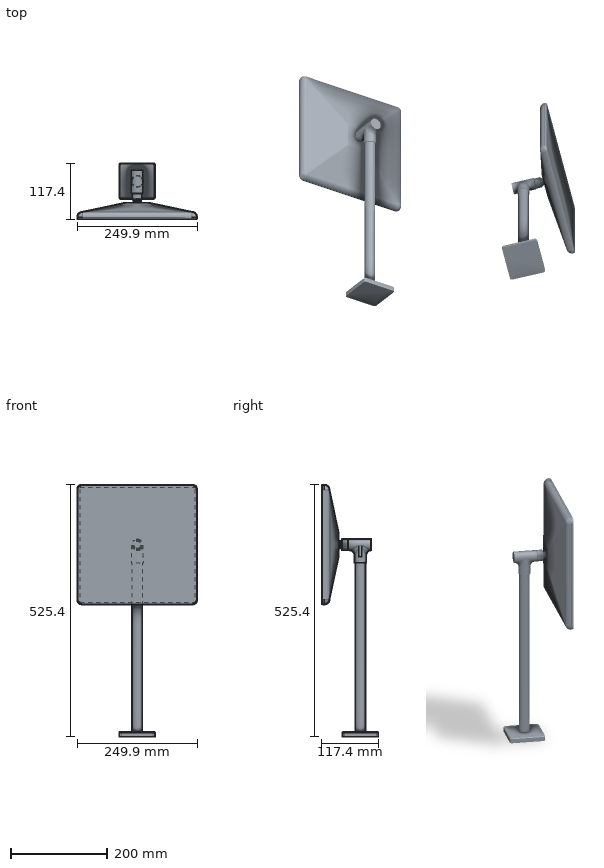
import cadquery as cq
import math


BASE_SIDE = 75.0
BASE_THICKNESS = 10.5
BASE_CORNER_RADIUS = 4.5
BASE_TOP_CHAMFER = 1.5

OVERALL_HEIGHT = 525.43
OVERALL_DEPTH = 117.43

HEAD_SIDE = 249.86
HEAD_CORNER_RADIUS = 10.0
RIM_DEPTH = 16.0
RIM_ROUND_RADIUS = 11.5
HEAD_DEPTH = 34.8
HEAD_BACK_SIDE = 50.0
HEAD_FRONT_Y = BASE_SIDE / 2 - OVERALL_DEPTH
HEAD_BACK_Y = HEAD_FRONT_Y + HEAD_DEPTH
AXIS_Z = OVERALL_HEIGHT - HEAD_SIDE / 2

POST_DIAMETER = 22.0
TEE_DIAMETER = 24.0
TEE_FRONT_REACH = 25.0
TEE_BACK_REACH = 22.7
SLEEVE_DIAMETER = 24.8
SLEEVE_DROP = 37.5
SLEEVE_LENGTH = 12.5
NECK_WIDTH = 23.8
TEE_BLEND_RADIUS = 10.0

NUT_WIDTH = 20.0
NUT_HEIGHT = 24.0
NUT_LENGTH = 14.0
NUT_CHAMFER = 1.2
JOINT_END_RADIUS = 9.0
JOINT_WAIST_RADIUS = 7.2
NUT_FRONT_Y = -TEE_FRONT_REACH - NUT_LENGTH


def make_base():
    plate = cq.Workplane("XY").rect(BASE_SIDE, BASE_SIDE).extrude(BASE_THICKNESS)
    plate = plate.edges("|Z").fillet(BASE_CORNER_RADIUS)
    return plate.faces(">Z").chamfer(BASE_TOP_CHAMFER)


def make_post():
    return cq.Workplane("XY").circle(POST_DIAMETER / 2).extrude(AXIS_Z)


def make_tee():
    barrel = (
        cq.Workplane("XZ", origin=(0, TEE_BACK_REACH, 0))
        .circle(TEE_DIAMETER / 2)
        .extrude(TEE_BACK_REACH + TEE_FRONT_REACH)
    )
    neck_length = SLEEVE_DROP - SLEEVE_LENGTH
    neck = cq.Workplane("XY").circle(SLEEVE_DIAMETER / 2).extrude(-neck_length)
    neck = neck.intersect(cq.Workplane("XY").box(NECK_WIDTH, SLEEVE_DIAMETER, 2 * neck_length))
    tee = barrel.union(neck)
    barrel_radius = TEE_DIAMETER / 2
    neck_radius = SLEEVE_DIAMETER / 2
    seam_box = cq.selectors.BoxSelector(
        (-barrel_radius, -neck_radius, -barrel_radius),
        (barrel_radius, neck_radius, -barrel_radius / 4),
    )
    tee = tee.edges(seam_box).edges("not #Z").edges("not |Z").fillet(TEE_BLEND_RADIUS)
    sleeve = (
        cq.Workplane("XY", origin=(0, 0, -SLEEVE_DROP))
        .circle(SLEEVE_DIAMETER / 2)
        .extrude(SLEEVE_LENGTH)
    )
    return tee.union(sleeve).translate((0, 0, AXIS_Z))


def make_joint():
    nut = (
        cq.Workplane("XZ", origin=(0, -TEE_FRONT_REACH, AXIS_Z))
        .slot2D(NUT_HEIGHT, NUT_WIDTH, 90)
        .extrude(NUT_LENGTH)
        .faces("<Y or >Y")
        .chamfer(NUT_CHAMFER)
    )
    waist_y = (NUT_FRONT_Y + HEAD_BACK_Y) / 2
    stem = (
        cq.Workplane("XY")
        .moveTo(0, NUT_FRONT_Y)
        .lineTo(JOINT_END_RADIUS, NUT_FRONT_Y)
        .lineTo(JOINT_WAIST_RADIUS, waist_y)
        .lineTo(JOINT_END_RADIUS, HEAD_BACK_Y)
        .lineTo(0, HEAD_BACK_Y)
        .close()
        .revolve(360, (0, 0, 0), (0, 1, 0))
        .translate((0, 0, AXIS_Z))
    )
    return nut.union(stem)


def head_profile(plane):
    half_back = HEAD_BACK_SIDE / 2
    round_centre = HEAD_SIDE / 2 - RIM_ROUND_RADIUS
    widest_depth = RIM_DEPTH - RIM_ROUND_RADIUS
    widest = (HEAD_SIDE / 2, widest_depth)
    half_front = round_centre + math.sqrt(RIM_ROUND_RADIUS**2 - widest_depth**2)
    half_outline = (
        cq.Workplane(plane)
        .lineTo(half_front, 0)
        .threePointArc(widest, (round_centre, RIM_DEPTH))
        .lineTo(half_back, HEAD_DEPTH)
        .lineTo(0, HEAD_DEPTH)
    )
    return half_outline.mirrorY().extrude(HEAD_SIDE / 2, both=True)


def make_head():
    head = head_profile("XY").intersect(head_profile("ZY"))
    head = head.edges("not #Y").fillet(HEAD_CORNER_RADIUS)
    return head.translate((0, HEAD_FRONT_Y, AXIS_Z))


result = make_base().union(make_post()).union(make_tee()).union(make_joint()).union(make_head())